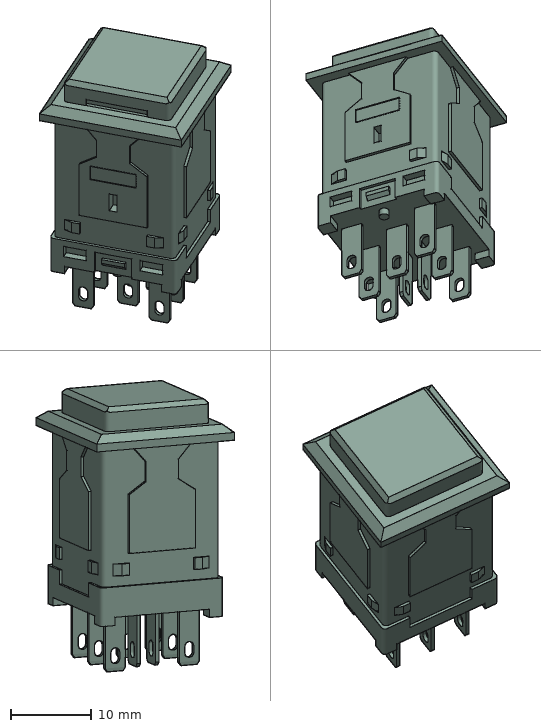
import cadquery as cq

OVERLAP = 0.2

BEZEL_WIDTH = 18.8
BEZEL_HEIGHT = 1.95
BEZEL_EDGE_HEIGHT = 1.0
BEZEL_BEVEL_INSET = 1.15

CAP_WIDTH = 14.15
CAP_TOP = 5.0
CAP_BEVEL = 0.6
CAP_CORNER_RADIUS = 0.6
CAP_SLOT_WIDTH = 8.1
CAP_SLOT_TOP = 2.85
CAP_SLOT_BACK_BOTTOM = 2.15
CAP_SLOT_DEPTH = 0.25

BODY_WIDTH = 16.0
BODY_CORNER_RADIUS = 0.6
BODY_BOTTOM = -17.6

RAISED = 0.38
PANEL_NECK_HALF = 2.2
PANEL_HEAD_HALF = 4.0
PANEL_FOOT_HALF = 4.5
PANEL_NECK_TOP = -2.0
PANEL_NECK_BOTTOM = -4.5
PANEL_SHOULDER = -6.0
PANEL_BOTTOM = -13.5

LABEL_WIDTH = 6.05
LABEL_HEIGHT = 1.95
LABEL_TOP = -6.0
LABEL_DEPTH = 0.15
KEY_SLOT_WIDTH = 1.0
KEY_SLOT_HEIGHT = 2.45
KEY_SLOT_TOP = -9.55
KEY_SLOT_DEPTH = 1.5

LATCH_INNER = 4.45
LATCH_CREST = 5.5
LATCH_OUTER = 6.55
LATCH_TOP = -14.75
LATCH_HEIGHT = 1.5

BASE_WIDTH = BODY_WIDTH + 2 * RAISED
BASE_CORNER_RADIUS = 0.5
BASE_FLOOR = -21.45
BASE_LEG_BOTTOM = -22.5
BASE_LEG_GAP = 12.9
SIDE_NOTCH_WIDTH = 2 * PANEL_FOOT_HALF
SIDE_NOTCH_BOTTOM = -19.4

POCKET_TOP = -18.5
WINDOW_WIDTH = 3.0
WINDOW_HEIGHT = 1.5
WINDOW_DEPTH = 1.0
WINDOW_X = 5.05
CLIP_POCKET_WIDTH = 4.9
CLIP_POCKET_DEPTH = 0.4
CLIP_WIDTH = 3.1
CLIP_TOP = -19.4
CLIP_CREST = -19.95
CLIP_BOTTOM = -20.45

PIN_DIAMETER = 1.25
PIN_BOTTOM = -22.35
PIN_Y = -6.4

TERMINAL_WIDTH = 2.75
TERMINAL_THICKNESS = 0.5
TERMINAL_BOTTOM = -29.0
TERMINAL_TIP_HEIGHT = 0.45
TERMINAL_TIP_INSET = 0.3
TERMINAL_TIP_THINNING = 0.05
TERMINAL_HOLE_WIDTH = 1.2
TERMINAL_HOLE_LENGTH = 2.0
TERMINAL_HOLE_Z = -27.0
TERMINAL_COLUMN_X = 5.05
TERMINAL_ROW_Y = 5.05
CENTRE_TERMINAL_Y = -2.55
LAMP_TERMINAL_X = 1.27
LAMP_TERMINAL_Y = 2.55


def block(x_size, y_size, bottom, top, x=0, y=0):
    """Box centred on (x, y) between two heights."""
    box = cq.Workplane("XY").box(x_size, y_size, top - bottom, centered=(True, True, False))
    return box.translate((x, y, bottom))


def front_cut(width, top, height, face_y, depth, x=0):
    """Box that cuts to a given depth into a front face lying at face_y."""
    y = face_y + (depth - OVERLAP) / 2
    return block(width, depth + OVERLAP, top - height, top, x, y)


def on_sides(feature, angles):
    """Copies of a front feature turned about Z to other sides."""
    turned = cq.Workplane("XY")
    for angle in angles:
        turned = turned.add(feature.rotate((0, 0, 0), (0, 0, 1), angle).vals())
    return turned.combine()


def beveled_plate(width, bottom, bevel_start, top, inset):
    """Square plate whose upper edges slope inwards."""
    plate = block(width, width, bottom, bevel_start)
    narrow = width - 2 * inset
    bevel = (
        cq.Workplane("XY")
        .workplane(offset=bevel_start)
        .rect(width, width)
        .workplane(offset=top - bevel_start)
        .rect(narrow, narrow)
        .loft(ruled=True)
    )
    return plate.union(bevel)


def make_bezel():
    return beveled_plate(BEZEL_WIDTH, 0, BEZEL_EDGE_HEIGHT, BEZEL_HEIGHT, BEZEL_BEVEL_INSET)


def make_cap():
    bottom = BEZEL_HEIGHT - OVERLAP
    cap = beveled_plate(CAP_WIDTH, bottom, CAP_TOP - CAP_BEVEL, CAP_TOP, CAP_BEVEL)
    rounded = block(CAP_WIDTH, CAP_WIDTH, bottom, CAP_TOP).edges("|Z").fillet(CAP_CORNER_RADIUS)
    return cap.intersect(rounded).cut(make_cap_slot())


def make_cap_slot():
    """Finger slot in the front of the cap, its floor sloping forward at 45 degrees to the bezel."""
    front = -CAP_WIDTH / 2
    back = front + CAP_SLOT_DEPTH
    floor_drop = CAP_SLOT_DEPTH + OVERLAP
    profile = [
        (back, CAP_SLOT_BACK_BOTTOM),
        (back, CAP_SLOT_TOP),
        (front - OVERLAP, CAP_SLOT_TOP),
        (front - OVERLAP, CAP_SLOT_BACK_BOTTOM - floor_drop),
    ]
    return cq.Workplane("YZ").polyline(profile).close().extrude(CAP_SLOT_WIDTH / 2, both=True)


def make_body():
    body = block(BODY_WIDTH, BODY_WIDTH, BODY_BOTTOM - OVERLAP, OVERLAP)
    return body.edges("|Z").fillet(BODY_CORNER_RADIUS)


def make_panel():
    """Hourglass panel standing out of the front face."""
    right_side = [
        (PANEL_HEAD_HALF, 0),
        (PANEL_NECK_HALF, PANEL_NECK_TOP),
        (PANEL_NECK_HALF, PANEL_NECK_BOTTOM),
        (PANEL_FOOT_HALF, PANEL_SHOULDER),
        (PANEL_FOOT_HALF, PANEL_BOTTOM),
    ]
    left_side = [(-x, z) for x, z in reversed(right_side)]
    panel = cq.Workplane("XZ").polyline(right_side + left_side).close().extrude(RAISED + OVERLAP)
    return panel.translate((0, OVERLAP - BODY_WIDTH / 2, 0))


def make_latches():
    """Pair of front latches, flat inside and sloping away to the corners."""
    face = -BODY_WIDTH / 2
    right = (
        cq.Workplane("XY")
        .polyline(
            [
                (LATCH_INNER, face + OVERLAP),
                (LATCH_INNER, face - RAISED),
                (LATCH_CREST, face - RAISED),
                (LATCH_OUTER, face),
                (LATCH_OUTER, face + OVERLAP),
            ]
        )
        .close()
        .extrude(-LATCH_HEIGHT)
        .translate((0, 0, LATCH_TOP))
    )
    return right.union(right.mirror("YZ"))


def make_base():
    base = block(BASE_WIDTH, BASE_WIDTH, BASE_LEG_BOTTOM, BODY_BOTTOM)
    base = base.edges("|Z").fillet(BASE_CORNER_RADIUS)
    for x_size, y_size in ((BASE_LEG_GAP, BASE_WIDTH), (BASE_WIDTH, BASE_LEG_GAP)):
        base = base.cut(block(x_size, y_size, BASE_LEG_BOTTOM, BASE_FLOOR))

    face = -BASE_WIDTH / 2
    notch_height = BODY_BOTTOM - SIDE_NOTCH_BOTTOM
    notch = front_cut(SIDE_NOTCH_WIDTH, BODY_BOTTOM, notch_height, face, RAISED)
    base = base.cut(on_sides(notch, (90, -90)))

    for x in (-WINDOW_X, WINDOW_X):
        base = base.cut(front_cut(WINDOW_WIDTH, POCKET_TOP, WINDOW_HEIGHT, face, WINDOW_DEPTH, x))
    clip_pocket_height = POCKET_TOP - BASE_FLOOR
    base = base.cut(
        front_cut(CLIP_POCKET_WIDTH, POCKET_TOP, clip_pocket_height, face, CLIP_POCKET_DEPTH)
    )
    return base.union(make_clip())


def make_clip():
    """Wedge in the middle pocket whose lower half slopes back to the pocket floor."""
    floor = CLIP_POCKET_DEPTH - BASE_WIDTH / 2
    crest = -BASE_WIDTH / 2
    profile = [
        (floor + OVERLAP, CLIP_TOP),
        (crest, CLIP_TOP),
        (crest, CLIP_CREST),
        (floor, CLIP_BOTTOM),
        (floor + OVERLAP, CLIP_BOTTOM),
    ]
    return cq.Workplane("YZ").polyline(profile).close().extrude(CLIP_WIDTH / 2, both=True)


def make_pin():
    height = BASE_FLOOR + OVERLAP - PIN_BOTTOM
    pin = cq.Workplane("XY").circle(PIN_DIAMETER / 2).extrude(height)
    return pin.translate((0, PIN_Y, PIN_BOTTOM))


def make_terminal():
    """Blade facing the front, with a tapered tip and a wire hole, centred on the Z axis."""
    tip_start = TERMINAL_BOTTOM + TERMINAL_TIP_HEIGHT
    blade = block(TERMINAL_WIDTH, TERMINAL_THICKNESS, tip_start, BASE_FLOOR + OVERLAP)
    tip = (
        cq.Workplane("XY")
        .workplane(offset=tip_start)
        .rect(TERMINAL_WIDTH, TERMINAL_THICKNESS)
        .workplane(offset=-TERMINAL_TIP_HEIGHT)
        .rect(TERMINAL_WIDTH - 2 * TERMINAL_TIP_INSET, TERMINAL_THICKNESS - 2 * TERMINAL_TIP_THINNING)
        .loft(ruled=True)
    )
    hole = (
        cq.Workplane("XZ")
        .center(0, TERMINAL_HOLE_Z)
        .slot2D(TERMINAL_HOLE_LENGTH, TERMINAL_HOLE_WIDTH, 90)
        .extrude(TERMINAL_THICKNESS, both=True)
    )
    return blade.union(tip).cut(hole)


result = make_bezel().union(make_cap()).union(make_body()).union(make_base())

all_sides = (0, 90, 180, 270)
result = result.union(on_sides(make_panel(), all_sides))
result = result.union(on_sides(make_latches(), all_sides))
panel_face = -BODY_WIDTH / 2 - RAISED
result = result.cut(front_cut(LABEL_WIDTH, LABEL_TOP, LABEL_HEIGHT, panel_face, LABEL_DEPTH))
result = result.cut(
    front_cut(KEY_SLOT_WIDTH, KEY_SLOT_TOP, KEY_SLOT_HEIGHT, panel_face, KEY_SLOT_DEPTH)
)

result = result.union(make_pin())
terminal = make_terminal()
for x in (-TERMINAL_COLUMN_X, TERMINAL_COLUMN_X):
    for y in (-TERMINAL_ROW_Y, 0, TERMINAL_ROW_Y):
        result = result.union(terminal.translate((x, y, 0)))
result = result.union(terminal.translate((0, CENTRE_TERMINAL_Y, 0)))
lamp_terminal = terminal.rotate((0, 0, 0), (0, 0, 1), 90)
for x in (-LAMP_TERMINAL_X, LAMP_TERMINAL_X):
    result = result.union(lamp_terminal.translate((x, LAMP_TERMINAL_Y, 0)))